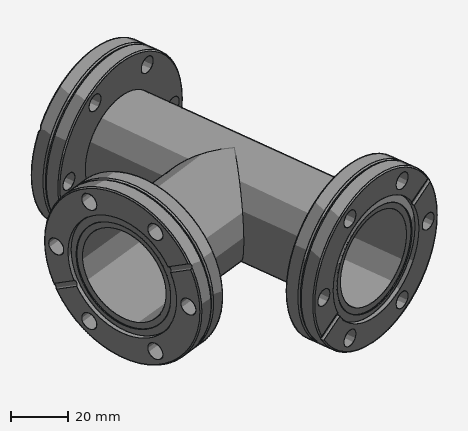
import cadquery as cq

run_length = 126.0
port_reach = run_length / 2
tube_diameter = 40.3
bore_diameter = 37.2
port_angles = (0, 90, 180)

flange_diameter = 69.9
flange_thickness = 12.7
edge_chamfer = 0.5
rim_groove_width = 1.5
rim_groove_depth = 0.4

recess_diameter = 48.3
recess_depth = 1.8
knife_diameter = 42.1
knife_depth = 0.6
knife_floor_depth = 1.1

bolt_count = 6
bolt_circle_diameter = 58.7
bolt_hole_diameter = 6.7

leak_groove_width = 2.3
leak_groove_depth = 0.8
leak_groove_angles = (30, 210)

flange_radius = flange_diameter / 2
recess_radius = recess_diameter / 2
knife_radius = knife_diameter / 2
bolt_circle_radius = bolt_circle_diameter / 2


def cylinder_from_centre(diameter, length):
    """Cylinder from the tee centre toward -X."""
    return cq.Workplane("YZ").circle(diameter / 2).extrude(-length)


def flange_disc():
    """Flange of the -X port, turned about X from its half section."""
    face = -port_reach
    back = face + flange_thickness
    groove_middle = face + flange_thickness / 2
    groove_half_width = rim_groove_width / 2
    rim_inset = flange_radius - edge_chamfer
    half_section = [
        (back, 0),
        (back, rim_inset),
        (back - edge_chamfer, flange_radius),
        (groove_middle + groove_half_width, flange_radius),
        (groove_middle, flange_radius - rim_groove_depth),
        (groove_middle - groove_half_width, flange_radius),
        (face + edge_chamfer, flange_radius),
        (face, rim_inset),
        (face, recess_radius),
        (face + recess_depth, recess_radius),
        (face + knife_depth, knife_radius),
        (face + knife_floor_depth, knife_radius),
        (face + knife_floor_depth, 0),
    ]
    return cq.Workplane("XY").polyline(half_section).close().revolve(360, (0, 0), (1, 0))


def bolt_holes():
    """Ring of through holes, the first one level with the tee plane."""
    return (
        cq.Workplane("YZ", origin=(-port_reach, 0, 0))
        .polarArray(bolt_circle_radius, 0, 360, bolt_count)
        .circle(bolt_hole_diameter / 2)
        .extrude(flange_thickness)
    )


def leak_grooves():
    """Shallow round-bottomed grooves running radially from the recess out through the rim."""
    half_width = leak_groove_width / 2
    inner_end = recess_radius - half_width
    groove = (
        cq.Workplane("XZ", origin=(-port_reach, -inner_end, 0))
        .moveTo(0, -half_width)
        .threePointArc((leak_groove_depth, 0), (0, half_width))
        .close()
        .extrude(flange_radius - inner_end)
    )
    grooves = cq.Workplane("XY")
    for angle in leak_groove_angles:
        grooves = grooves.add(groove.rotate((0, 0, 0), (-1, 0, 0), angle))
    return grooves.combine()


def around_tee(port, angle):
    """Turn -X port geometry about Z to another port."""
    return port.rotate((0, 0, 0), (0, 0, 1), angle)


flange = flange_disc().cut(bolt_holes()).cut(leak_grooves())
tube = cylinder_from_centre(tube_diameter, port_reach - flange_thickness)
bore = cylinder_from_centre(bore_diameter, port_reach)

result = cq.Workplane("XY")
for angle in port_angles:
    result = result.union(around_tee(tube, angle)).union(around_tee(flange, angle))
for angle in port_angles:
    result = result.cut(around_tee(bore, angle))